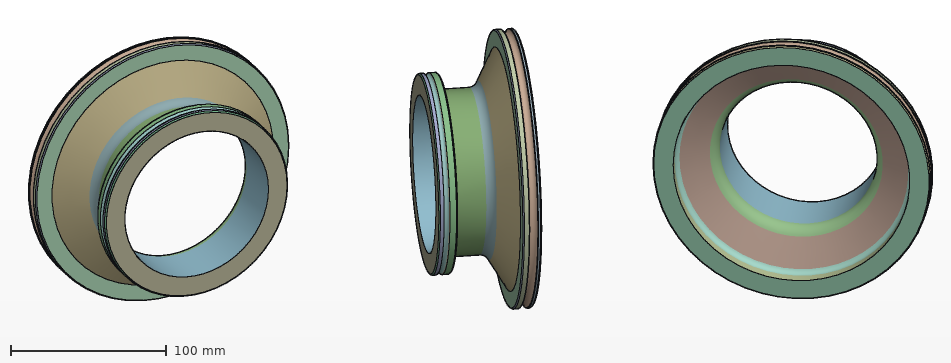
import cadquery as cq
import math

length = 63.0
large_radius = 90.0
small_radius = 65.0
flange_width = 12.2
flange_chamfer = 0.9
large_chamfer = 0.7

neck_radius = 54.0
wall = 3.0
bore_radius = neck_radius - wall
cone_angle = math.radians(60)
bend_x = 30.6
outer_bend = 7.2
inner_bend = outer_bend + wall
bend_centre_radius = neck_radius + outer_bend

mouth_radius = 76.7
mouth_blend = 5.0

recess_depth = 2.2
recess_radius = 62.8
small_face_x = length - flange_width

large_groove_x = 5.2
large_groove_width = 5.2
large_groove_depth = 2.3
small_groove_x = length - 5.2
small_groove_width = 3.0
small_groove_depth = 1.3
groove_edge_chamfer = 0.4


def bend_point(bend_radius, angle):
    """Point on the shared-centre bend, at an angle back from the neck tangent."""
    return (
        bend_x - bend_radius * math.sin(angle),
        bend_centre_radius - bend_radius * math.cos(angle),
    )


def rim_groove(profile, centre, radius, width, depth):
    """Follow a flange rim through a rounded groove with broken edges."""
    half = width / 2
    shoulder = radius - groove_edge_chamfer
    return (
        profile.lineTo(centre - half - groove_edge_chamfer, radius)
        .lineTo(centre - half, shoulder)
        .threePointArc((centre, radius - depth), (centre + half, shoulder))
        .lineTo(centre + half + groove_edge_chamfer, radius)
    )


outer_start = bend_point(outer_bend, cone_angle)
inner_start = bend_point(inner_bend, cone_angle)
cone_foot_radius = outer_start[1] + (outer_start[0] - flange_width) * math.tan(cone_angle)

blend_centre_radius = mouth_radius - mouth_blend
blend_end_radius = blend_centre_radius + mouth_blend * math.cos(cone_angle)
blend_end_x = inner_start[0] - (blend_end_radius - inner_start[1]) / math.tan(cone_angle)
blend_start_x = blend_end_x - mouth_blend * math.sin(cone_angle)
blend_mid = (
    blend_start_x + mouth_blend * math.sin(cone_angle / 2),
    blend_centre_radius + mouth_blend * math.cos(cone_angle / 2),
)

profile = (
    cq.Workplane("XY")
    .moveTo(0, mouth_radius)
    .lineTo(0, large_radius - large_chamfer)
    .lineTo(flange_chamfer, large_radius)
)
profile = rim_groove(profile, large_groove_x, large_radius, large_groove_width, large_groove_depth)

profile = (
    profile.lineTo(flange_width - flange_chamfer, large_radius)
    .lineTo(flange_width, large_radius - large_chamfer)
    .lineTo(flange_width, cone_foot_radius)
    .lineTo(*outer_start)
    .threePointArc(bend_point(outer_bend, cone_angle / 2), (bend_x, neck_radius))
    .lineTo(small_face_x + recess_depth, neck_radius)
    .lineTo(small_face_x + recess_depth, recess_radius)
    .lineTo(small_face_x, recess_radius)
    .lineTo(small_face_x, small_radius - flange_chamfer)
    .lineTo(small_face_x + flange_chamfer, small_radius)
)
profile = rim_groove(profile, small_groove_x, small_radius, small_groove_width, small_groove_depth)

profile = (
    profile.lineTo(length - flange_chamfer, small_radius)
    .lineTo(length, small_radius - flange_chamfer)
    .lineTo(length, bore_radius)
    .lineTo(bend_x, bore_radius)
    .threePointArc(bend_point(inner_bend, cone_angle / 2), inner_start)
    .lineTo(blend_end_x, blend_end_radius)
    .threePointArc(blend_mid, (blend_start_x, mouth_radius))
    .close()
)

result = profile.revolve(360, (0, 0, 0), (1, 0, 0)).translate((-length / 2, 0, 0))